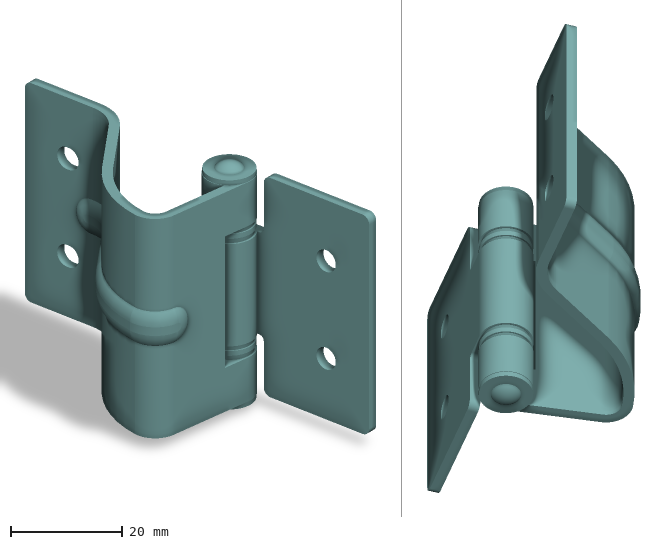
import cadquery as cq
import math


TOTAL_LENGTH = 80
TOTAL_HEIGHT = 49.4
SHEET = 2.0
KNUCKLE_RADIUS = 10.0 / 2
CORNER_RADIUS = 1.5

PIN_RADIUS = 2.7
PIN_DOME_HEIGHT = 1.2
WASHER_RADIUS = 4.9
WASHER_THICKNESS = SHEET / 2
SPACER_NECK_RADIUS = 4.6
SPACER_LENGTH = 3 * WASHER_THICKNESS

LEAF_HEIGHT = TOTAL_HEIGHT - 2 * (PIN_DOME_HEIGHT + WASHER_THICKNESS)
MIDDLE_KNUCKLE_LENGTH = 21.0
RELIEF_HEIGHT = MIDDLE_KNUCKLE_LENGTH + 2 * SPACER_LENGTH

PLATE_BACK_Y = KNUCKLE_RADIUS
PLATE_FRONT_Y = PLATE_BACK_Y - SHEET

FLAT_LEAF_END_X = 30.0
FLAT_LEAF_INNER_X = 5.5
FLAT_LEAF_HOLE_X = 20
TAB_FILLET = 1.0

FORMED_LEAF_END_X = FLAT_LEAF_END_X - TOTAL_LENGTH
FORMED_LEAF_HOLE_X = -40
SLOPE_ANGLE = 55
FIRST_BEND_RADIUS = 7.8
BELLY_RADIUS = 23.6
BELLY_END_ANGLE = 9
NOSE_RADIUS = 4.9
LEG_ANGLE = 7.7
LEG_LENGTH = 18.3
RELIEF_EDGE_Y = -6.3

HOLE_DIAMETER = 4.5
SLOT_LENGTH = 5.0
HOLE_SPACING = 20

RIB_WIDTH = 7.0
RIB_FLAT_WIDTH = 1.8
RIB_HEIGHT = 1.1
RIB_EMBED = SHEET / 2
RIB_START_LEAD = 0.4


def polar(center, radius, degrees):
    """Point at a radius and direction from a center."""
    angle = math.radians(degrees)
    return (center[0] + radius * math.cos(angle), center[1] + radius * math.sin(angle))


LEG_OUT = -LEG_ANGLE
NOSE_START = 270 - BELLY_END_ANGLE
BELLY_START = 270 - SLOPE_ANGLE
LEG_START = polar((0, 0), KNUCKLE_RADIUS - NOSE_RADIUS, LEG_OUT)
NOSE_CENTER = polar(LEG_START, LEG_LENGTH, LEG_OUT - 90)
BELLY_CENTER = polar(NOSE_CENTER, BELLY_RADIUS - NOSE_RADIUS, NOSE_START - 180)

SLOPE_SIN = math.sin(math.radians(SLOPE_ANGLE))
SLOPE_COS = math.cos(math.radians(SLOPE_ANGLE))
BEND_CENTER_Y = PLATE_FRONT_Y - FIRST_BEND_RADIUS
BEND_CENTER_X = (
    BELLY_CENTER[0]
    + (
        (BELLY_CENTER[1] - BEND_CENTER_Y) * SLOPE_COS
        - BELLY_RADIUS
        - FIRST_BEND_RADIUS
    ) / SLOPE_SIN
)
BEND_CENTER = (BEND_CENTER_X, BEND_CENTER_Y)


def arc_points(center, radius, start, end):
    """Start, middle and end points of an arc."""
    return [polar(center, radius, a) for a in (start, (start + end) / 2, end)]


def bend_arcs(depth):
    """The three bend arcs of the face lying a given depth behind the ribbed face."""
    return [
        arc_points(BEND_CENTER, FIRST_BEND_RADIUS + depth, 90, 90 - SLOPE_ANGLE),
        arc_points(BELLY_CENTER, BELLY_RADIUS - depth, BELLY_START, NOSE_START),
        arc_points(NOSE_CENTER, NOSE_RADIUS - depth, NOSE_START, 360 + LEG_OUT),
    ]


def follow_bends(path):
    """Continue a path along the ribbed face, from the flat plate to the start of the leg."""
    first_bend, belly, nose = bend_arcs(0)
    return (
        path.lineTo(*first_bend[0])
        .threePointArc(*first_bend[1:])
        .lineTo(*belly[0])
        .threePointArc(*belly[1:])
        .threePointArc(*nose[1:])
    )


def cylinder(radius, bottom, top):
    return cq.Workplane("XY", origin=(0, 0, bottom)).circle(radius).extrude(top - bottom)


def slab(x_min, x_max, y_min, y_max, height):
    """Box between the given sides, centered on Z = 0."""
    return (
        cq.Workplane("XY")
        .box(x_max - x_min, y_max - y_min, height, centered=(False, False, True))
        .translate((x_min, y_min, 0))
    )


def screw_holes(x, length):
    """Pair of cutters through a flat plate: round, or slotted along X when longer than wide."""
    places = (
        cq.Workplane("XZ", origin=(x, PLATE_BACK_Y, 0))
        .pushPoints([(0, -HOLE_SPACING / 2), (0, HOLE_SPACING / 2)])
    )
    if length > HOLE_DIAMETER:
        return places.slot2D(length, HOLE_DIAMETER).extrude(SHEET)
    return places.circle(HOLE_DIAMETER / 2).extrude(SHEET)


def formed_sheet():
    """Bent sheet of constant thickness, from the flat plate's end to the knuckle."""
    back_first_bend, back_belly, back_nose = [arc[::-1] for arc in bend_arcs(SHEET)]
    plate_end = (
        cq.Workplane("XY", origin=(0, 0, -LEAF_HEIGHT / 2))
        .moveTo(FORMED_LEAF_END_X, PLATE_FRONT_Y)
    )
    outline = (
        follow_bends(plate_end)
        .lineTo(*polar((0, 0), KNUCKLE_RADIUS, LEG_OUT))
        .lineTo(*polar((0, 0), KNUCKLE_RADIUS - SHEET, LEG_OUT))
        .lineTo(*back_nose[0])
        .threePointArc(*back_nose[1:])
        .threePointArc(*back_belly[1:])
        .lineTo(*back_first_bend[0])
        .threePointArc(*back_first_bend[1:])
        .lineTo(FORMED_LEAF_END_X, PLATE_BACK_Y)
        .close()
    )
    return outline.extrude(LEAF_HEIGHT).edges("|Y and <X").fillet(CORNER_RADIUS)


def rib_half(plane):
    """Half of the rib's cross-section, from its middle to one side."""
    half_width = RIB_WIDTH / 2
    half_flat = RIB_FLAT_WIDTH / 2
    run = half_width - half_flat
    radius = (run ** 2 + RIB_HEIGHT ** 2) / (2 * RIB_HEIGHT)
    landing = math.degrees(math.asin((radius - RIB_HEIGHT) / radius))
    middle = polar((half_flat, RIB_HEIGHT - radius), radius, (90 + landing) / 2)
    return (
        cq.Workplane(plane)
        .moveTo(0, -RIB_EMBED)
        .lineTo(0, RIB_HEIGHT)
        .lineTo(half_flat, RIB_HEIGHT)
        .threePointArc(middle, (half_width, 0))
        .lineTo(half_width, -RIB_EMBED)
        .close()
    )


def rib():
    """Raised bead along the outside of the bends, with a round end at each end."""
    first_bend, _, nose = bend_arcs(0)
    start = (first_bend[0][0] - RIB_START_LEAD, PLATE_FRONT_Y)
    end = nose[2]
    path = follow_bends(cq.Workplane("XY").moveTo(*start))

    start_plane = cq.Plane(origin=(*start, 0), xDir=(0, 0, 1), normal=(1, 0, 0))
    leg_direction = polar((0, 0), 1, LEG_OUT + 90)
    end_plane = cq.Plane(origin=(*end, 0), xDir=(0, 0, 1), normal=(*leg_direction, 0))

    half = rib_half(start_plane).sweep(path)
    start_cap = rib_half(start_plane).revolve(180, (0, 0), (0, 1))
    end_cap = rib_half(end_plane).revolve(180, (0, 0), (0, -1))
    return half.union(half.mirror("XY")).union(start_cap).union(end_cap)


def formed_leaf():
    relief = slab(-KNUCKLE_RADIUS, 2 * KNUCKLE_RADIUS, RELIEF_EDGE_Y, PLATE_BACK_Y, RELIEF_HEIGHT)
    leaf = formed_sheet().cut(screw_holes(FORMED_LEAF_HOLE_X, SLOT_LENGTH)).union(rib())
    knuckles = cylinder(KNUCKLE_RADIUS, -LEAF_HEIGHT / 2, LEAF_HEIGHT / 2)
    bore = cylinder(PIN_RADIUS, -LEAF_HEIGHT / 2, LEAF_HEIGHT / 2)
    return leaf.union(knuckles).cut(relief).cut(bore)


def flat_leaf():
    half_tab = MIDDLE_KNUCKLE_LENGTH / 2
    plate = (
        slab(FLAT_LEAF_INNER_X, FLAT_LEAF_END_X, PLATE_FRONT_Y, PLATE_BACK_Y, LEAF_HEIGHT)
        .edges("|Y")
        .fillet(CORNER_RADIUS)
    )
    tab = slab(0, 2 * FLAT_LEAF_INNER_X, PLATE_FRONT_Y, PLATE_BACK_Y, MIDDLE_KNUCKLE_LENGTH)
    root = cq.selectors.BoxSelector(
        (FLAT_LEAF_INNER_X - TAB_FILLET / 2, 0, -half_tab - TAB_FILLET / 2),
        (FLAT_LEAF_INNER_X + TAB_FILLET / 2, PLATE_BACK_Y, half_tab + TAB_FILLET / 2),
    )
    leaf = plate.union(tab).edges("|Y").edges(root).fillet(TAB_FILLET)
    knuckle = cylinder(KNUCKLE_RADIUS, -half_tab, half_tab)
    bore = cylinder(PIN_RADIUS, -half_tab, half_tab)
    return leaf.union(knuckle).cut(bore).cut(screw_holes(FLAT_LEAF_HOLE_X, HOLE_DIAMETER))


def pin():
    half_shank = TOTAL_HEIGHT / 2 - PIN_DOME_HEIGHT
    dome_radius = (PIN_RADIUS ** 2 + PIN_DOME_HEIGHT ** 2) / (2 * PIN_DOME_HEIGHT)
    dome_span = math.degrees(math.asin(PIN_RADIUS / dome_radius))
    dome_center = (0, TOTAL_HEIGHT / 2 - dome_radius)
    dome_middle = polar(dome_center, dome_radius, 90 - dome_span / 2)
    half = (
        cq.Workplane("XZ")
        .lineTo(PIN_RADIUS, 0)
        .lineTo(PIN_RADIUS, half_shank)
        .threePointArc(dome_middle, (0, TOTAL_HEIGHT / 2))
        .close()
        .revolve(360, (0, 0), (0, 1))
    )
    return half.union(half.mirror("XY"))


def washer(z):
    bottom = z - WASHER_THICKNESS / 2
    top = z + WASHER_THICKNESS / 2
    return cylinder(WASHER_RADIUS, bottom, top).cut(cylinder(PIN_RADIUS, bottom, top))


def spacer(z):
    """Washer with a slightly smaller collar on each face."""
    bottom = z - SPACER_LENGTH / 2
    top = z + SPACER_LENGTH / 2
    collar = cylinder(SPACER_NECK_RADIUS, bottom, top).cut(cylinder(PIN_RADIUS, bottom, top))
    return collar.union(washer(z))


WASHER_Z = (LEAF_HEIGHT + WASHER_THICKNESS) / 2
SPACER_Z = (MIDDLE_KNUCKLE_LENGTH + SPACER_LENGTH) / 2

washers = [washer(side * WASHER_Z) for side in (-1, 1)]
spacers = [spacer(side * SPACER_Z) for side in (-1, 1)]

result = cq.Compound.makeCompound([
    formed_leaf().val(),
    flat_leaf().val(),
    pin().val(),
    *[body.val() for body in washers + spacers],
])